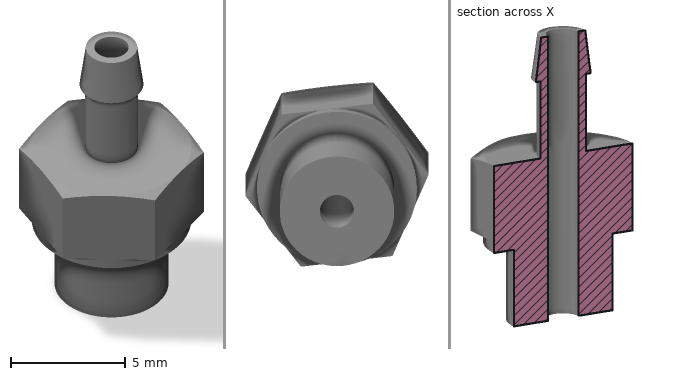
import cadquery as cq
import math

total_height = 13
section_height = 3.5
collar_height = 0.5

spigot_diameter = 5.0
across_flats = 7.0
stem_diameter = 2.3
barb_base_diameter = 2.8
barb_tip_diameter = 2.25
bore_diameter = 1.5
chamfer_angle = 20
cone_margin = 0.13

collar_bottom = section_height
hex_bottom = collar_bottom + collar_height
hex_top = hex_bottom + section_height
barb_bottom = hex_top + section_height
across_corners = across_flats / math.cos(math.radians(30))


def cylinder(diameter, bottom, top):
    return cq.Workplane("XY").workplane(offset=bottom).circle(diameter / 2).extrude(top - bottom)


def chamfered_hexagon():
    """Hexagonal prism with its top corners turned down by a shallow cone."""
    prism = (
        cq.Workplane("XY")
        .workplane(offset=hex_bottom)
        .polygon(6, across_corners)
        .extrude(section_height)
    )
    flat_radius = across_flats / 2
    cone_radius = across_corners / 2 + cone_margin
    cone_drop = (cone_radius - flat_radius) * math.tan(math.radians(chamfer_angle))
    envelope = (
        cq.Workplane("XZ")
        .moveTo(0, hex_bottom)
        .lineTo(cone_radius, hex_bottom)
        .lineTo(cone_radius, hex_top - cone_drop)
        .lineTo(flat_radius, hex_top)
        .lineTo(0, hex_top)
        .close()
        .revolve(360, (0, 0, 0), (0, 1, 0))
    )
    return prism.intersect(envelope)


def hose_barb():
    """Conical barb, widest at its lower edge."""
    return (
        cq.Workplane("XZ")
        .moveTo(0, barb_bottom)
        .lineTo(barb_base_diameter / 2, barb_bottom)
        .lineTo(barb_tip_diameter / 2, total_height)
        .lineTo(0, total_height)
        .close()
        .revolve(360, (0, 0, 0), (0, 1, 0))
    )


result = (
    cylinder(spigot_diameter, 0, collar_bottom)
    .union(cylinder(across_flats, collar_bottom, hex_bottom))
    .union(chamfered_hexagon())
    .union(cylinder(stem_diameter, hex_top, barb_bottom))
    .union(hose_barb())
    .cut(cylinder(bore_diameter, 0, total_height))
)